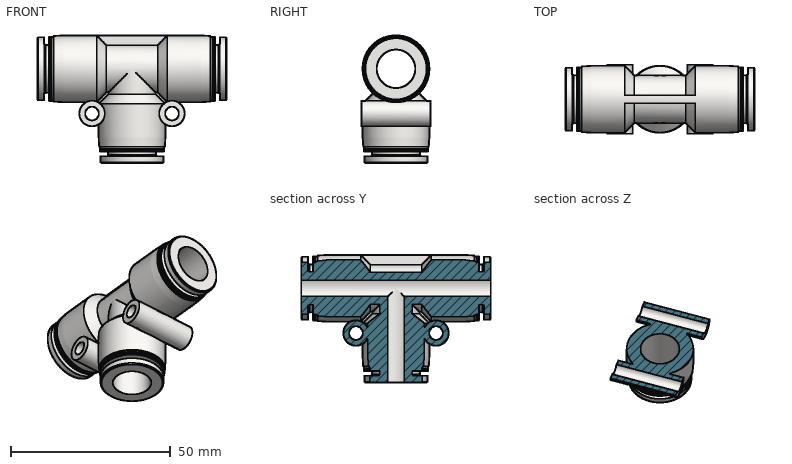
import cadquery as cq
import math


run_length = 29.65
branch_length = 29.55

bore_radius = 6.0
neck_radius = 7.5
body_radius = 10.5
body_mouth_radius = 10.3
ring_radius = 10.1
ring_groove_radius = 9.85
stem_radius = 7.55
collar_radius = 9.9

stem_bevel = 0.2
ring_bevel = 0.2

collar_edge_bevel = 0.35
collar_thickness = 2.2
stem_bevel_end = 2.7
ring_start = 3.6
ring_groove_start = 4.15
ring_groove_end = 4.55
body_mouth = 5.2
mouth_taper_end = 8.1
shoulder_start = 18.6

web_thickness = 2.5

lug_diameter = 8.0
lug_hole_diameter = 4.2
lug_length = 21.7
lug_offset_x = 12.5
lug_drop = 14.0

seam_turn = 45


def arm_profile(length):
    """Points (distance from the crossing, radius) of an arm, from collar to neck."""
    shoulder_end = shoulder_start + body_radius - neck_radius
    profile = [
        (0, collar_radius - collar_edge_bevel),
        (collar_edge_bevel, collar_radius),
        (collar_thickness, collar_radius),
        (collar_thickness, stem_radius + stem_bevel),
        (stem_bevel_end, stem_radius),
        (ring_start, stem_radius),
        (ring_start, ring_radius - ring_bevel),
        (ring_start + ring_bevel, ring_radius),
        (ring_groove_start, ring_radius),
        (ring_groove_start, ring_groove_radius),
        (ring_groove_end, ring_groove_radius),
        (ring_groove_end, ring_radius),
        (body_mouth, ring_radius),
        (body_mouth, body_mouth_radius),
        (mouth_taper_end, body_radius),
        (shoulder_start, body_radius),
        (shoulder_end, neck_radius),
    ]
    return [(length - inset, radius) for inset, radius in profile]


def turned_along_x(profile):
    """Solid of revolution about X; the profile is closed along the axis."""
    first_x = profile[0][0]
    last_x = profile[-1][0]
    outline = [(first_x, 0)] + profile + [(last_x, 0)]
    return cq.Workplane("XZ").polyline(outline).close().revolve(360, (0, 0, 0), (1, 0, 0))


def solid_run():
    """Both run arms, mirror images of each other, as one turned body."""
    right_profile = arm_profile(run_length)
    left_profile = [(-x, radius) for x, radius in reversed(right_profile)]
    run = turned_along_x(right_profile + left_profile)
    return run.rotate((0, 0, 0), (1, 0, 0), seam_turn)


def solid_branch():
    """Branch arm pointing down, with its neck carried up to the run axis."""
    profile = arm_profile(branch_length) + [(0, neck_radius)]
    return turned_along_x(profile).rotate((0, 0, 0), (0, 1, 0), 90)


def bar_along_y(diameter, x, z):
    """Round bar of lug length, parallel to Y and centred on the XZ plane."""
    return (
        cq.Workplane("XZ")
        .center(x, z)
        .circle(diameter / 2)
        .extrude(lug_length / 2, both=True)
    )


def waist_web():
    """Upright web: its top edge follows the body cylinder of the run, its foot
    reaches down to the shoulder of the branch."""
    web_length = 2 * (run_length - shoulder_start)
    foot_z = shoulder_start - branch_length
    half_thickness = web_thickness / 2
    top_edge_z = math.sqrt(body_radius**2 - half_thickness**2)
    return (
        cq.Workplane("YZ")
        .moveTo(-half_thickness, foot_z)
        .lineTo(-half_thickness, top_edge_z)
        .threePointArc((0, body_radius), (half_thickness, top_edge_z))
        .lineTo(half_thickness, foot_z)
        .close()
        .extrude(web_length / 2, both=True)
    )


outer = solid_branch().union(waist_web()).union(solid_run())

lug_positions = [-lug_offset_x, lug_offset_x]
for lug_x in lug_positions:
    outer = outer.union(bar_along_y(lug_diameter, lug_x, -lug_drop))
for lug_x in lug_positions:
    outer = outer.cut(bar_along_y(lug_hole_diameter, lug_x, -lug_drop))

run_bore = cq.Workplane("YZ").circle(bore_radius).extrude(run_length, both=True)
branch_bore = cq.Workplane("XY").circle(bore_radius).extrude(-branch_length)
result = outer.cut(run_bore).cut(branch_bore)